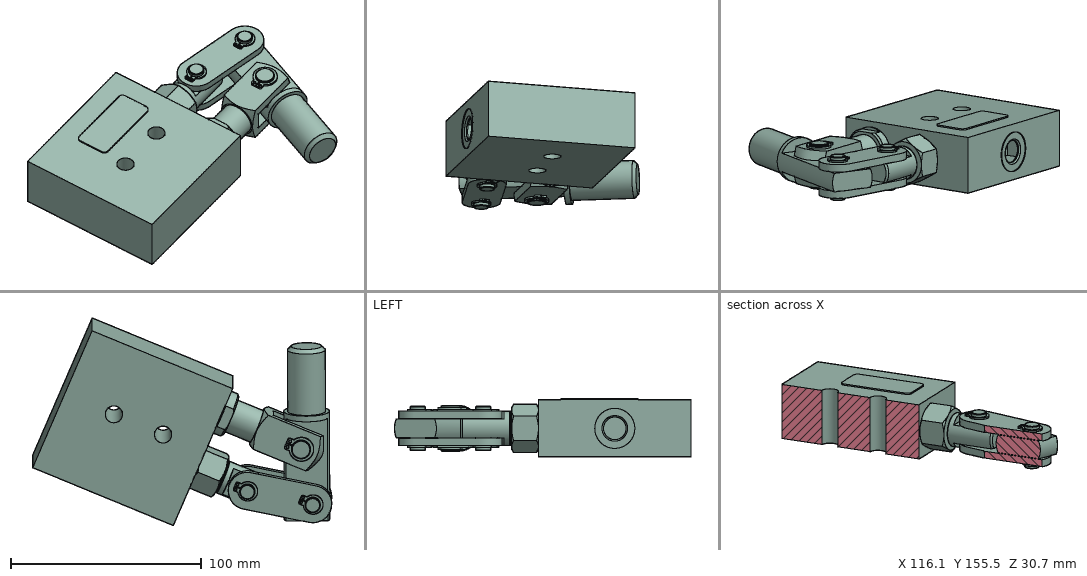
import cadquery as cq
import math


BLOCK_SIDE = 80.0
BLOCK_HEIGHT = 30.0
MOUNT_HOLE_DIA = 9.0
MOUNT_HOLE_X = 43.0
MOUNT_HOLE_Y = (-24.0, -52.0)
PORT_DIA = 11.84
PORT_DEPTH = 2.0
PORT_MOUTH_DIA = 13.4
SPOTFACE_DIA = 21.0
SPOTFACE_DEPTH = 0.5
CHAMBER_DEPTH = 14.0
CHAMBER_LENGTH = 32.0
CHAMBER_HEIGHT = 14.0

PLATE_WIDTH = 18.5
PLATE_LENGTH = 40.5
PLATE_THICKNESS = 0.7
PLATE_CORNER = 2.5
PLATE_CENTER = (21.0, -32.0)

PISTON_X = 31.0
GLAND_FLATS = 22.0
GLAND_LENGTH = 14.0
GLAND_BEVEL_ANGLE = 30.0
NECK_DIA = 11.84
NECK_LENGTH = 0.7
HEAD_DIA = 18.0
HEAD_END_Y = 40.9
HEAD_CHAMFER = 1.0
HEAD_FOOT_CHAMFER = 0.5
HEAD_FLATS_Y = 18.0

TONGUE_THICKNESS = 10.0
LEVER_ANGLE = 23.14
LEVER_DIA = 24.0
LEVER_AXIS_OFFSET = 3.0
TONGUE_BACK = 40.0
TONGUE_FRONT = 15.0
COLLAR_LENGTH = 3.0
GRIP_DIA = 20.0
GRIP_END = 53.0
GRIP_CHAMFER = 2.0
LINK_PIN_BACK = 30.0

FORK_X = 63.0
FORK_PIVOT_Y = 46.0
FORK_SIDE = 20.0
FORK_BOTTOM_Y = 20.7
FORK_FOOT_DIA = 19.5
FORK_TIP_Y = 58.0
FORK_SLOT_Y = 26.0
FORK_BEVEL_ANGLE = 30.0
POST_DIA = 18.0
BASE_DIA = 24.0
BASE_HEIGHT = 6.0
BASE_CHAMFER = 1.0
BASE_FLATS = 20.8
BASE_FLATS_Y = 0.7

LINK_SPACING = 35.0
LINK_WIDTH = 20.0
LINK_THICKNESS = 4.0
CHEEK_GAP = 0.1
PIN_CHAMFER = 0.4
LINK_PIN_DIA = 8.0
LINK_PIN_END_Z = 11.7
LINK_GROOVE_DIA = 7.6
LINK_RING_DIA = 10.35
LINK_RING_THICKNESS = 0.8
LINK_LUG_WIDTH = 5.0
LINK_LUG_REACH = 7.2
LINK_LUG_HOLE = 1.2
PIVOT_PIN_DIA = 10.0
PIVOT_PIN_END_Z = 12.0
PIVOT_GROOVE_DIA = 9.6
PIVOT_RING_DIA = 12.8
PIVOT_RING_THICKNESS = 1.0
PIVOT_LUG_WIDTH = 6.4
PIVOT_LUG_REACH = 8.4
PIVOT_LUG_HOLE = 1.5
RING_GAP = 0.4
RING_OFFSET = 0.25
LUG_ROUNDING = 0.9

cos_lever = math.cos(math.radians(LEVER_ANGLE))
sin_lever = math.sin(math.radians(LEVER_ANGLE))


def lever_point(along, across):
    """Point at a distance along the lever and across it, from the fork pivot."""
    x = FORK_X + along * cos_lever + across * sin_lever
    y = FORK_PIVOT_Y - along * sin_lever + across * cos_lever
    return x, y


upper_pin = lever_point(-LINK_PIN_BACK, 2 * LEVER_AXIS_OFFSET)
link_offset_x = upper_pin[0] - PISTON_X
lower_pin = (PISTON_X, upper_pin[1] - math.sqrt(LINK_SPACING**2 - link_offset_x**2))
cheek_z = TONGUE_THICKNESS / 2 + CHEEK_GAP
link_top_z = cheek_z + LINK_THICKNESS


def rod(x, y_start, y_end, diameter):
    """Round bar along +Y."""
    return cq.Workplane("XZ", origin=(x, y_start, 0)).circle(diameter / 2).extrude(y_start - y_end)


def centered_box(x_size, y_start, y_end, z_size, x_center):
    """Box between two Y places, centred on Z = 0."""
    box = cq.Workplane("XY").box(x_size, y_end - y_start, z_size)
    return box.translate((x_center, (y_start + y_end) / 2, 0))


def turned(x, profile):
    """Solid of revolution about the Y line at x, from (radius, y) points that start and end on it."""
    outline = cq.Workplane("XY").polyline([(x + radius, y) for radius, y in profile]).close()
    return outline.revolve(360, (x, 0, 0), (x, 1, 0))


def make_block():
    block = centered_box(BLOCK_SIDE, -BLOCK_SIDE, 0, BLOCK_HEIGHT, BLOCK_SIDE / 2)
    holes = cq.Workplane("XY").pushPoints([(MOUNT_HOLE_X, y) for y in MOUNT_HOLE_Y])
    block = block.cut(holes.circle(MOUNT_HOLE_DIA / 2).extrude(BLOCK_HEIGHT, both=True))
    mouth_depth = SPOTFACE_DEPTH + (PORT_MOUTH_DIA - PORT_DIA) / 2
    port_profile = [
        (0, 0),
        (0, SPOTFACE_DIA / 2),
        (SPOTFACE_DEPTH, SPOTFACE_DIA / 2),
        (SPOTFACE_DEPTH, PORT_MOUTH_DIA / 2),
        (mouth_depth, PORT_DIA / 2),
        (PORT_DEPTH, PORT_DIA / 2),
        (PORT_DEPTH, 0),
    ]
    port = cq.Workplane("XY").polyline(port_profile).close().revolve(360, (0, 0, 0), (1, 0, 0))
    block = block.cut(port.translate((0, -BLOCK_SIDE / 2, 0)))
    chamber = cq.Workplane("XY").box(CHAMBER_DEPTH, CHAMBER_LENGTH, CHAMBER_HEIGHT)
    return block.cut(chamber.translate((PORT_DEPTH + CHAMBER_DEPTH / 2, -BLOCK_SIDE / 2, 0)))


def make_nameplate():
    plate = cq.Workplane("XY", origin=(*PLATE_CENTER, BLOCK_HEIGHT / 2))
    plate = plate.rect(PLATE_WIDTH, PLATE_LENGTH).extrude(PLATE_THICKNESS)
    return plate.edges("|Z").fillet(PLATE_CORNER)


def make_piston():
    corner_dia = GLAND_FLATS / math.cos(math.radians(30))
    bevel = (corner_dia - GLAND_FLATS) / 2 * math.tan(math.radians(GLAND_BEVEL_ANGLE))
    hexagon = cq.Workplane("XZ", origin=(PISTON_X, 0, 0)).transformed(rotate=(0, 0, 30))
    hexagon = hexagon.polygon(6, corner_dia).extrude(-GLAND_LENGTH)
    envelope_profile = [
        (0, 0),
        (GLAND_FLATS / 2, 0),
        (corner_dia / 2, bevel),
        (corner_dia / 2, GLAND_LENGTH - bevel),
        (GLAND_FLATS / 2, GLAND_LENGTH),
        (0, GLAND_LENGTH),
    ]
    gland = hexagon.intersect(turned(PISTON_X, envelope_profile))
    head_start = GLAND_LENGTH + NECK_LENGTH
    neck = rod(PISTON_X, GLAND_LENGTH, head_start, NECK_DIA)
    head = rod(PISTON_X, head_start, HEAD_END_Y, HEAD_DIA)
    head = head.faces(">Y").chamfer(HEAD_CHAMFER).faces("<Y").chamfer(HEAD_FOOT_CHAMFER)
    eye = centered_box(HEAD_DIA, HEAD_FLATS_Y, HEAD_END_Y, TONGUE_THICKNESS, PISTON_X)
    collar = centered_box(HEAD_DIA, head_start, HEAD_FLATS_Y, HEAD_DIA, PISTON_X)
    head = head.intersect(eye.union(collar))
    pin_hole = cq.Workplane("XY").center(*lower_pin).circle(LINK_PIN_DIA / 2)
    return gland.union(neck).union(head).cut(pin_hole.extrude(HEAD_DIA, both=True))


def make_lever():
    """Round lever flattened to a tongue, with a collar and a grip; built along X from the pivot."""

    def bar(start, end, diameter):
        section = cq.Workplane("YZ", origin=(start, LEVER_AXIS_OFFSET, 0))
        return section.circle(diameter / 2).extrude(end - start)

    collar_end = TONGUE_FRONT + COLLAR_LENGTH
    tongue = bar(-TONGUE_BACK, TONGUE_FRONT, LEVER_DIA)
    tongue = tongue.intersect(cq.Workplane("XY").box(4 * TONGUE_BACK, 2 * LEVER_DIA, TONGUE_THICKNESS))
    collar = bar(TONGUE_FRONT, collar_end, LEVER_DIA)
    grip = bar(collar_end, GRIP_END, GRIP_DIA).faces(">X").chamfer(GRIP_CHAMFER)
    lever = tongue.union(collar).union(grip)
    return lever.rotate((0, 0, 0), (0, 0, 1), -LEVER_ANGLE).translate((FORK_X, FORK_PIVOT_Y, 0))


def make_fork():
    """Square fork with turned bevels at both ends, on a round post with a flatted base."""
    slope = math.tan(math.radians(FORK_BEVEL_ANGLE))
    half_diagonal = FORK_SIDE / math.sqrt(2)
    foot_radius = FORK_FOOT_DIA / 2
    envelope_profile = [
        (0, FORK_BOTTOM_Y),
        (foot_radius, FORK_BOTTOM_Y),
        (half_diagonal, FORK_BOTTOM_Y + (half_diagonal - foot_radius) * slope),
        (half_diagonal, FORK_TIP_Y - (half_diagonal - cheek_z) * slope),
        (cheek_z, FORK_TIP_Y),
        (0, FORK_TIP_Y),
    ]
    fork = centered_box(FORK_SIDE, FORK_BOTTOM_Y, FORK_TIP_Y, FORK_SIDE, FORK_X)
    fork = fork.intersect(turned(FORK_X, envelope_profile))
    fork = fork.cut(centered_box(FORK_SIDE, FORK_SLOT_Y, FORK_TIP_Y, 2 * cheek_z, FORK_X))
    post = rod(FORK_X, 0, FORK_BOTTOM_Y, POST_DIA)
    base = rod(FORK_X, 0, BASE_HEIGHT, BASE_DIA).faces(">Y").chamfer(BASE_CHAMFER)
    flange = centered_box(BASE_DIA, 0, BASE_FLATS_Y, BASE_DIA, FORK_X)
    flats = centered_box(BASE_DIA, BASE_FLATS_Y, BASE_HEIGHT, BASE_FLATS, FORK_X)
    return fork.union(post).union(base.intersect(flange.union(flats)))


def make_link_plate(bottom_z):
    """Link plate with full-round ends about its two pins."""
    middle_x = (upper_pin[0] + lower_pin[0]) / 2
    middle_y = (upper_pin[1] + lower_pin[1]) / 2
    tilt = math.degrees(math.atan2(upper_pin[1] - lower_pin[1], link_offset_x))
    plate = cq.Workplane("XY").slot2D(LINK_SPACING + LINK_WIDTH, LINK_WIDTH, tilt).extrude(LINK_THICKNESS)
    return plate.translate((middle_x, middle_y, bottom_z))


def make_ring(groove_dia, outer_dia, thickness, lug_width, lug_reach, lug_hole):
    """Retaining ring, widest opposite its two drilled lugs, which are split by a gap and point to -Y."""
    lug_top = -groove_dia / 2
    lug_middle = (lug_top - lug_reach) / 2
    ring = cq.Workplane("XY").center(0, RING_OFFSET).circle(outer_dia / 2).extrude(thickness)
    lugs = cq.Workplane("XY").center(0, lug_middle).rect(lug_width, lug_top + lug_reach).extrude(thickness)
    lugs = lugs.edges("|Z and <Y").fillet(LUG_ROUNDING)
    gap = cq.Workplane("XY").center(0, lug_middle).rect(RING_GAP, lug_top + lug_reach).extrude(thickness)
    hole_x = (lug_width + RING_GAP) / 4
    hole_y = lug_hole - lug_reach
    holes = cq.Workplane("XY").pushPoints([(-hole_x, hole_y), (hole_x, hole_y)])
    holes = holes.circle(lug_hole / 2).extrude(thickness)
    bore = cq.Workplane("XY").circle(groove_dia / 2).extrude(thickness)
    return ring.union(lugs).cut(gap).cut(holes).cut(bore)


def make_pin(place, diameter, end_z, ring, seat_z, ring_thickness, groove_dia):
    """Pin along Z with a retaining ring in a groove outside each cheek."""
    pin = cq.Workplane("XY").circle(diameter / 2).extrude(end_z, both=True)
    pin = pin.faces("<Z or >Z").chamfer(PIN_CHAMFER)
    groove = cq.Workplane("XY").circle(diameter / 2).circle(groove_dia / 2).extrude(ring_thickness)
    for bottom_z in (seat_z, -seat_z - ring_thickness):
        pin = pin.cut(groove.translate((0, 0, bottom_z)))
        pin = pin.union(ring.translate((0, 0, bottom_z)))
    return pin.translate((*place, 0))


def make_lever_unit():
    unit = make_lever().union(make_fork())
    for bottom_z in (cheek_z, -link_top_z):
        unit = unit.union(make_link_plate(bottom_z))
    link_ring = make_ring(
        LINK_GROOVE_DIA, LINK_RING_DIA, LINK_RING_THICKNESS, LINK_LUG_WIDTH, LINK_LUG_REACH, LINK_LUG_HOLE
    )
    for place in (lower_pin, upper_pin):
        pin = make_pin(
            place, LINK_PIN_DIA, LINK_PIN_END_Z, link_ring,
            link_top_z, LINK_RING_THICKNESS, LINK_GROOVE_DIA,
        )
        unit = unit.union(pin)
    pivot_ring = make_ring(
        PIVOT_GROOVE_DIA, PIVOT_RING_DIA, PIVOT_RING_THICKNESS,
        PIVOT_LUG_WIDTH, PIVOT_LUG_REACH, PIVOT_LUG_HOLE,
    )
    pivot = make_pin(
        (FORK_X, FORK_PIVOT_Y), PIVOT_PIN_DIA, PIVOT_PIN_END_Z, pivot_ring,
        FORK_SIDE / 2, PIVOT_RING_THICKNESS, PIVOT_GROOVE_DIA,
    )
    return unit.union(pivot)


block = make_block()
nameplate = make_nameplate()
piston = make_piston()
lever_unit = make_lever_unit()

bodies = [block, nameplate, piston, lever_unit]
result = cq.Compound.makeCompound([body.solids().val() for body in bodies])